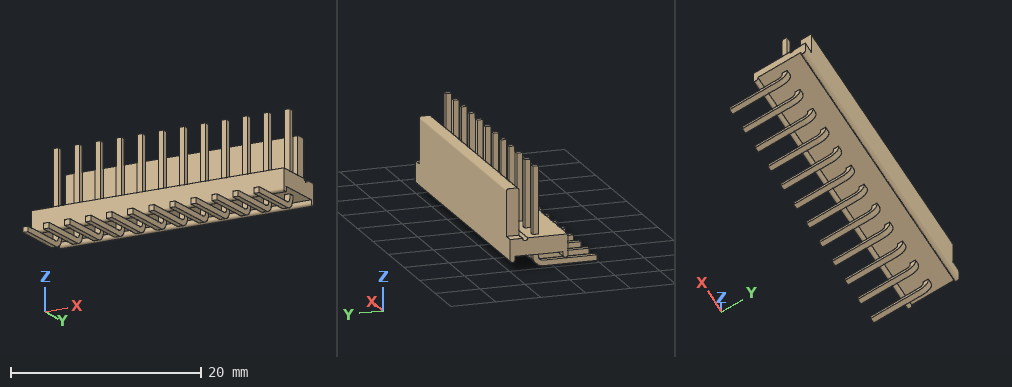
import cadquery as cq
import math


pin_count = 12
row_length = 30.48
pitch = row_length / pin_count
pin_width = 0.65
pin_top = 7.5
tail_reach = 6.85
tail_drop = 3.57
bend_inner_radius = 0.52
bend_outer_radius = bend_inner_radius + pin_width

base_back = 3.17
base_depth = 6.43
base_front = base_back - base_depth
base_height = 1.92
foot_width = 0.55
foot_radius = foot_width / 2
foot_drop = 0.65

wall_thickness = 1.4
wall_height = 5.2
wall_end_gap = 1.22
wall_edge_radius = 0.27
wall_front = base_back - wall_thickness

groove_radius = 0.27


def make_base():
    """Slab with a round-bottomed foot along its front and rear edges."""
    underside = -base_height
    foot_spring = underside - foot_drop + foot_radius
    foot_tip = underside - foot_drop
    front_foot_inside = base_front + foot_width
    rear_foot_inside = base_back - foot_width
    return (
        cq.Workplane("YZ")
        .moveTo(base_front, 0)
        .lineTo(base_front, foot_spring)
        .threePointArc((base_front + foot_radius, foot_tip), (front_foot_inside, foot_spring))
        .lineTo(front_foot_inside, underside)
        .lineTo(rear_foot_inside, underside)
        .lineTo(rear_foot_inside, foot_spring)
        .threePointArc((base_back - foot_radius, foot_tip), (base_back, foot_spring))
        .lineTo(base_back, 0)
        .close()
        .extrude(row_length / 2, both=True)
    )


def make_groove():
    """Half-round channel running the full length just ahead of the wall."""
    return (
        cq.Workplane("YZ")
        .center(wall_front - groove_radius, 0)
        .circle(groove_radius)
        .extrude(row_length / 2, both=True)
    )


def make_wall():
    """Upright wall flush with the rear face, with rounded top edges."""
    wall_length = row_length - 2 * wall_end_gap
    return (
        cq.Workplane("XY")
        .center(0, base_back - wall_thickness / 2)
        .rect(wall_length, wall_thickness)
        .extrude(wall_height)
        .edges("|X and >Z")
        .fillet(wall_edge_radius)
    )


def make_pin(x):
    """Square pin at x that passes down through the base and bends forward."""
    half = pin_width / 2
    tail_bottom = -tail_drop
    tail_top = tail_bottom + pin_width
    bend_y = -half - bend_inner_radius
    bend_z = tail_top + bend_inner_radius
    diagonal = math.sqrt(0.5)
    outer_mid = (bend_y + bend_outer_radius * diagonal, bend_z - bend_outer_radius * diagonal)
    inner_mid = (bend_y + bend_inner_radius * diagonal, bend_z - bend_inner_radius * diagonal)
    return (
        cq.Workplane("YZ", origin=(x, 0, 0))
        .moveTo(half, pin_top)
        .lineTo(half, bend_z)
        .threePointArc(outer_mid, (bend_y, tail_bottom))
        .lineTo(-tail_reach, tail_bottom)
        .lineTo(-tail_reach, tail_top)
        .lineTo(bend_y, tail_top)
        .threePointArc(inner_mid, (-half, bend_z))
        .lineTo(-half, pin_top)
        .close()
        .extrude(half, both=True)
    )


result = make_base().cut(make_groove()).union(make_wall())
for index in range(pin_count):
    result = result.union(make_pin((index - (pin_count - 1) / 2) * pitch))